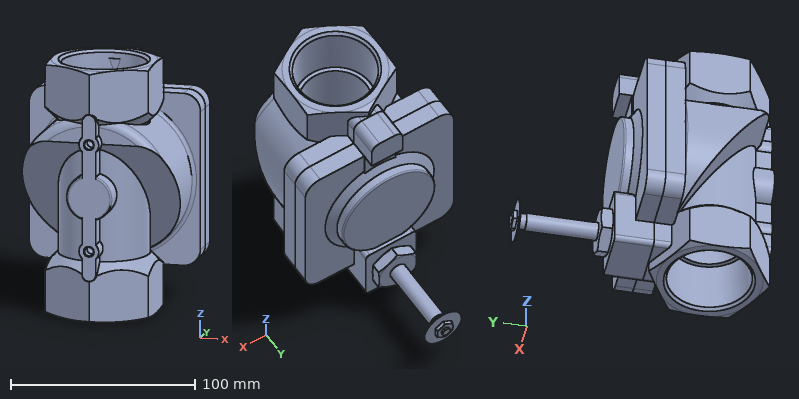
import cadquery as cq
import math


LENGTH = 140.0
BORE_D = 40.0
PIPE_R = 25.1
PORT_FLATS = 58.0
PORT_CORNER_R = PORT_FLATS / math.sqrt(3)
PORT_START = 37.1
PORT_CHAMFER = 1.3
THREAD_R = 23.3
THREAD_END_R = 22.5
THREAD_DEPTH = 30.0
MOUTH_R = 25.0

BOWL_R = 43.6
BOWL_FLOOR = -27.4
BOWL_FLOOR_FILLET = 5.1
BOWL_NECK_FILLET = 2.0
SLOPE_TOP = 29.0
SLOPE_ANGLE = 54.6

FLANGE_SIZE = 96.0
FLANGE_CORNER_R = 9.5
FLANGE_FACE = 23.0
JOINT = 34.0
BONNET_FACE = 44.2

MOUNT_FACE = -34.0
MOUNT_ROOT = -21.0
BAR_WIDTH = 7.5
BAR_LENGTH = 92.8
CENTRE_BOSS_D = 25.1
CENTRE_BOSS_FILLET = 0.9
SCREW_BOSS_D = 11.0
SCREW_SPACING = 59.5
SCREW_HOLE_D = 5.0
SCREW_HOLE_DEPTH = 5.8
SCREW_HOLE_CHAMFER = 0.5
DRILL_POINT_ANGLE = 118.0

LUG_WIDTH = 20.0
LUG_TOP = 65.1
LUG_CORNER_R = 5.1
LUG_END = 51.9
RIDGE_HEIGHT = 0.7

PAD_WIDTH = 32.6
PAD_TOP = -28.0
PAD_BOTTOM = -63.0
PAD_CORNER_R = 2.6
PAD_FACE = 55.7

COVER_R = 30.0
COVER_BASE_R = 35.2
COVER_CONE_END = 48.0
COVER_FACE = 53.4
COVER_FILLET = 0.9

STEM_Z = (PAD_TOP + PAD_BOTTOM) / 2
STEM_NUT_FLATS = 24.0
STEM_NUT_END = 62.4
NUT_CHAMFER_ANGLE = 16.0
STEM_D = 10.0
STEM_END = 102.1
STEM_NECK_D = 9.0
WASHER_START = 106.7
WASHER_D = 24.0
WASHER_THICKNESS = 0.9
CAP_NUT_FLATS = STEM_D
CAP_NUT_END = 109.8
TIP_D = 5.0
TIP_END = MOUNT_FACE + 145.0


def xz_plane(y, z=0.0):
    """Workplane at height y that faces +Y, with local x along -X and local y along +Z."""
    return cq.Workplane(cq.Plane(origin=(0, y, z), xDir=(-1, 0, 0), normal=(0, 1, 0)))


def disc(diameter, y_start, y_end, z=0.0):
    return xz_plane(y_start, z).circle(diameter / 2).extrude(y_end - y_start)


def hex_nut(flats, y_start, y_end, z, flat_base=False):
    """Hexagon along Y with two flats facing +X and -X and chamfered corners; a flat base stays sharp."""
    corner_r = flats / math.sqrt(3)
    drop = (corner_r - flats / 2) * math.tan(math.radians(NUT_CHAMFER_ANGLE))
    prism = (
        xz_plane(y_start).polygon(6, 2 * corner_r).extrude(y_end - y_start)
        .rotate((0, 0, 0), (0, 1, 0), 30)
    )
    outline = cq.Workplane("XY").moveTo(0, y_start)
    if flat_base:
        outline = outline.lineTo(corner_r, y_start)
    else:
        outline = outline.lineTo(flats / 2, y_start).lineTo(corner_r, y_start + drop)
    envelope = (
        outline
        .lineTo(corner_r, y_end - drop)
        .lineTo(flats / 2, y_end)
        .lineTo(0, y_end)
        .close()
        .revolve(360, (0, 0), (0, 1))
    )
    return prism.intersect(envelope).translate((0, 0, z))


def flange_plate(y_start, y_end):
    plate = xz_plane(y_start).rect(FLANGE_SIZE, FLANGE_SIZE).extrude(y_end - y_start)
    return plate.edges("|Y").fillet(FLANGE_CORNER_R)


def lug(y_start, y_end, z_start):
    """Upper lug from z_start to its rounded top."""
    height = LUG_TOP - z_start
    block = xz_plane(y_start, z_start + height / 2).rect(LUG_WIDTH, height).extrude(y_end - y_start)
    return block.edges("|Y and >Z").fillet(LUG_CORNER_R)


def pad(y_start, y_end):
    """Solenoid pad with four rounded corners."""
    block = xz_plane(y_start, STEM_Z).rect(PAD_WIDTH, PAD_TOP - PAD_BOTTOM).extrude(y_end - y_start)
    return block.edges("|Y").fillet(PAD_CORNER_R)


def upper_port():
    """Hexagon with a flared root and chamfered outer corners."""
    end = LENGTH / 2
    prism = (
        cq.Workplane("XY").workplane(offset=PORT_START)
        .polygon(6, 2 * PORT_CORNER_R).extrude(end - PORT_START)
        .rotate((0, 0, 0), (0, 0, 1), 30)
    )
    envelope = (
        cq.Workplane("XZ")
        .moveTo(0, PORT_START)
        .lineTo(PIPE_R, PORT_START)
        .lineTo(PORT_CORNER_R, PORT_START + PORT_CORNER_R - PIPE_R)
        .lineTo(PORT_CORNER_R, end - PORT_CHAMFER)
        .lineTo(PORT_FLATS / 2, end)
        .lineTo(0, end)
        .close()
        .revolve(360, (0, 0), (0, 1))
    )
    return prism.intersect(envelope)


def upper_thread():
    """Tapered thread bore with a 45 degree lead-in, as a cutter."""
    end = LENGTH / 2
    return (
        cq.Workplane("XZ")
        .moveTo(0, end)
        .lineTo(MOUTH_R, end)
        .lineTo(THREAD_R, end - (MOUTH_R - THREAD_R))
        .lineTo(THREAD_END_R, end - THREAD_DEPTH)
        .lineTo(0, end - THREAD_DEPTH)
        .close()
        .revolve(360, (0, 0), (0, 1))
    )


def make_bowl():
    """Round bowl on the Y axis, cut away below a sloping face."""
    neck_start = FLANGE_FACE - BOWL_NECK_FILLET
    neck_mid = BOWL_NECK_FILLET * (1 - math.sqrt(0.5))
    bowl = (
        cq.Workplane("XY")
        .moveTo(0, BOWL_FLOOR)
        .lineTo(BOWL_R, BOWL_FLOOR)
        .lineTo(BOWL_R, neck_start)
        .threePointArc(
            (BOWL_R + neck_mid, FLANGE_FACE - neck_mid),
            (BOWL_R + BOWL_NECK_FILLET, FLANGE_FACE),
        )
        .lineTo(0, FLANGE_FACE)
        .close()
        .revolve(360, (0, 0), (0, 1))
        .faces("<Y").edges().fillet(BOWL_FLOOR_FILLET)
    )
    size = 4 * BOWL_R
    below_slope = (
        cq.Workplane("XY").box(size, size, size)
        .translate((0, 0, -size / 2))
        .rotate((0, 0, 0), (1, 0, 0), -SLOPE_ANGLE)
        .translate((0, BOWL_FLOOR, SLOPE_TOP))
    )
    return bowl.cut(below_slope)


def screw_hole(z):
    """Blind hole with a chamfered mouth and a drill point, as a cutter along +Y."""
    radius = SCREW_HOLE_D / 2
    point = radius / math.tan(math.radians(DRILL_POINT_ANGLE / 2))
    floor = MOUNT_FACE + SCREW_HOLE_DEPTH
    return (
        cq.Workplane("XY", origin=(0, 0, z))
        .moveTo(0, MOUNT_FACE)
        .lineTo(radius + SCREW_HOLE_CHAMFER, MOUNT_FACE)
        .lineTo(radius, MOUNT_FACE + SCREW_HOLE_CHAMFER)
        .lineTo(radius, floor)
        .lineTo(0, floor + point)
        .close()
        .revolve(360, (0, 0), (0, 1))
    )


def make_mount():
    """Bar with rounded ends, a centre boss and two screw bosses."""
    bar = xz_plane(MOUNT_FACE).slot2D(BAR_LENGTH, BAR_WIDTH, 90).extrude(MOUNT_ROOT - MOUNT_FACE)
    boss = disc(CENTRE_BOSS_D, MOUNT_FACE, MOUNT_ROOT).faces("<Y").edges().fillet(CENTRE_BOSS_FILLET)
    mount = bar.union(boss)
    for z in (-SCREW_SPACING / 2, SCREW_SPACING / 2):
        mount = mount.union(disc(SCREW_BOSS_D, MOUNT_FACE, MOUNT_ROOT, z))
    return mount


def make_valve_body():
    port = upper_port()
    body = cq.Workplane("XY").circle(PIPE_R).extrude(PORT_START, both=True)
    body = body.union(port).union(port.mirror("XY"))
    body = body.union(make_bowl()).union(make_mount())

    for z in (-SCREW_SPACING / 2, SCREW_SPACING / 2):
        body = body.cut(screw_hole(z))

    thread = upper_thread()
    bore = cq.Workplane("XY").circle(BORE_D / 2).extrude(LENGTH / 2, both=True)
    body = body.cut(bore).cut(thread).cut(thread.mirror("XY"))

    body = body.union(flange_plate(FLANGE_FACE, JOINT))
    body = body.union(lug(FLANGE_FACE, JOINT, 0.0))
    return body.union(pad(FLANGE_FACE, JOINT))


def make_cover():
    """Round cover: a cone that rises from the bonnet to a disc with a rounded rim."""
    return (
        cq.Workplane("XY")
        .moveTo(0, BONNET_FACE)
        .lineTo(COVER_BASE_R, BONNET_FACE)
        .lineTo(COVER_R, COVER_CONE_END)
        .lineTo(COVER_R, COVER_FACE)
        .lineTo(0, COVER_FACE)
        .close()
        .revolve(360, (0, 0), (0, 1))
        .faces(">Y").edges().fillet(COVER_FILLET)
    )


def make_stem():
    """Nut, tube, washer, cap nut and tip of the solenoid stem."""
    washer_end = WASHER_START + WASHER_THICKNESS
    stem = hex_nut(STEM_NUT_FLATS, PAD_FACE, STEM_NUT_END, STEM_Z)
    stem = stem.union(disc(STEM_D, STEM_NUT_END, STEM_END, STEM_Z))
    stem = stem.union(disc(STEM_NECK_D, STEM_END, WASHER_START, STEM_Z))
    stem = stem.union(disc(WASHER_D, WASHER_START, washer_end, STEM_Z))
    stem = stem.union(hex_nut(CAP_NUT_FLATS, washer_end, CAP_NUT_END, STEM_Z, flat_base=True))
    return stem.union(disc(TIP_D, CAP_NUT_END, TIP_END, STEM_Z))


def make_bonnet():
    bonnet = flange_plate(JOINT, BONNET_FACE).union(make_cover())
    ridge = xz_plane(JOINT, FLANGE_SIZE / 4).rect(LUG_WIDTH, FLANGE_SIZE / 2)
    bonnet = bonnet.union(ridge.extrude(BONNET_FACE + RIDGE_HEIGHT - JOINT))
    bonnet = bonnet.union(lug(JOINT, LUG_END, FLANGE_SIZE / 2))
    bonnet = bonnet.union(pad(JOINT, PAD_FACE))
    return bonnet.union(make_stem())


valve_body = make_valve_body()
bonnet = make_bonnet()
result = cq.Compound.makeCompound([valve_body.val(), bonnet.val()])